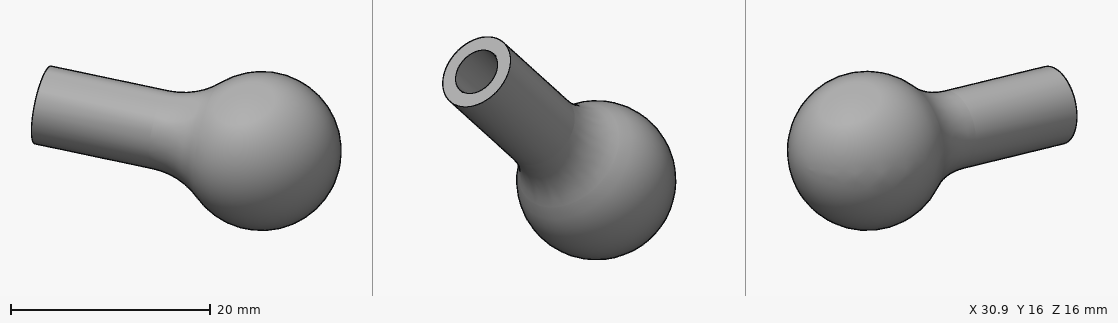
import cadquery as cq
import math

length = 30.93
ball_diameter = 16.0
bore_diameter = 4.95

ball_radius = ball_diameter / 2
shank_radius = ball_radius / 2
neck_radius = ball_radius
ball_center_x = length - ball_radius

neck_center_r = shank_radius + neck_radius
center_distance = neck_radius + ball_radius
neck_center_x = ball_center_x - math.sqrt(center_distance**2 - neck_center_r**2)
neck_angle = math.asin(neck_center_r / center_distance)
bore_depth = neck_center_x


def point_on_neck(angle):
    """Point on the neck arc, at an angle below the axis direction."""
    return (
        neck_center_x + neck_radius * math.cos(angle),
        neck_center_r - neck_radius * math.sin(angle),
    )


def make_body():
    """Shank, flared neck and ball, revolved about the X axis."""
    neck_middle = point_on_neck((neck_angle + math.pi / 2) / 2)
    neck_end = point_on_neck(neck_angle)
    return (
        cq.Workplane("XY")
        .lineTo(0, shank_radius)
        .lineTo(neck_center_x, shank_radius)
        .threePointArc(neck_middle, neck_end)
        .threePointArc((ball_center_x, ball_radius), (length, 0))
        .close()
        .revolve(360, (0, 0, 0), (1, 0, 0))
    )


def make_bore():
    """Flat-bottomed hole along the shank axis."""
    return cq.Workplane("YZ").circle(bore_diameter / 2).extrude(bore_depth)


result = make_body().cut(make_bore())